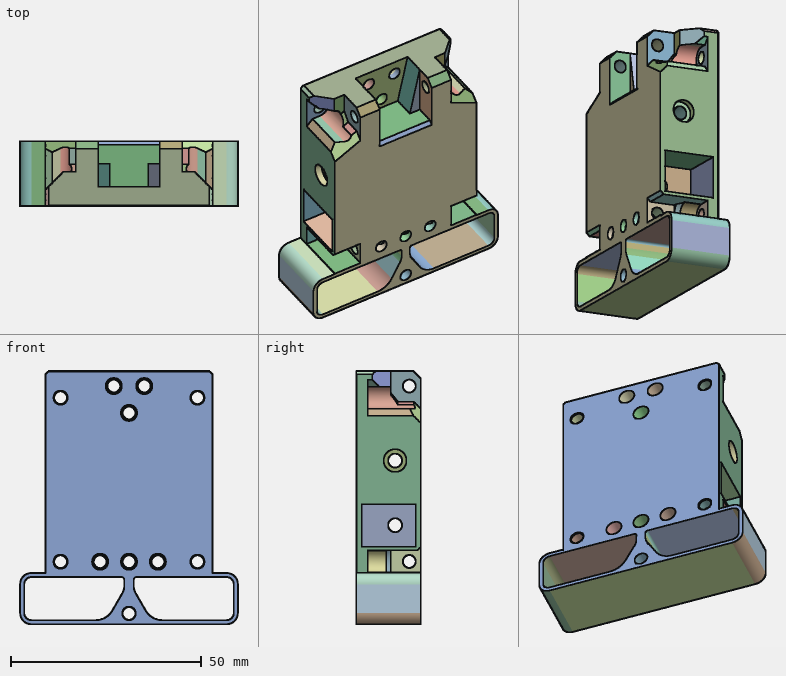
import cadquery as cq
import math

depth = 17.0
height = 66.5
body_half_width = 21.95

handle_width = 57.2
handle_height = 13.5
handle_radius = 3.0
handle_wall = 1.1
web_half_width = 1.25
web_bend_z = 9.05
web_angle = 30.0
web_foot_radius = 5.0
web_bend_radius = 4.0
web_top_radius = 0.65

front_break = 0.2
front_side_break = 0.05
edge_chamfer = 0.9
top_back_chamfer = 2.0

screw_x = 17.95
screw_z_low = 16.4
screw_z_high = 59.45
plate_thickness = 3.1
recess_radius = 2.9
recess_mouth = 1.8
wall_half_width = 14.0
ledge_y = 9.05
ledge_slant_x = 17.15

ramp_top_z = 60.6
ramp_foot_y = 11.0
ramp_foot_z = 58.4
shoulder_tilt = 25.4
shoulder_chamfer = 1.85

notch_floor_z = 13.6
notch_roof_z = 19.4
notch_cone_depth = 1.1

slot_half_width = 8.05
slot_front_y = 5.1
slot_floor_z = 52.55
wedge_back_y = 11.1
wedge_half_width = 5.0

hole_diameter = 3.3
screw_mouth_diameter = 3.7
screw_mouth_depth = 0.2
taper_mouth_diameter = 4.25
taper_depth = 3.3
upper_pair_x = 4.0
upper_pair_z = 62.5
upper_single_z = 55.45
lower_side_x = 7.6
handle_hole_z = 2.85
handle_hole_diameter = 3.6
pin_y = 13.95
pin_z_high = 62.5
pin_z_low = 16.5
cross_y = 10.25
cross_z_high = 42.95
cross_z_low = 26.0
cross_diameter = 3.6
cross_bore_diameter = 6.0
cross_bore_depth = 2.0

pocket_y_min = 1.5
pocket_y_max = 15.6
pocket_z_min = 20.35
pocket_z_max = 31.5
pocket_depth = 13.3

margin = 3.3


def box(x_min, x_max, y_min, y_max, z_min, z_max):
    block = cq.Workplane("XY").box(x_max - x_min, y_max - y_min, z_max - z_min, centered=False)
    return block.translate((x_min, y_min, z_min))


def prism_along_y(points, y_min, y_max):
    """Extrude an outline of (x, z) points between two Y positions."""
    plane = cq.Workplane("XZ", origin=(0, y_min, 0))
    return plane.polyline(points).close().extrude(y_min - y_max)


def prism_along_x(points, x_min, x_max):
    """Extrude an outline of (y, z) points between two X positions."""
    plane = cq.Workplane("YZ", origin=(x_min, 0, 0))
    return plane.polyline(points).close().extrude(x_max - x_min)


def cone_along_y(x, z, y_start, y_end, start_radius, end_radius):
    """Straight-sided round cutter pointing along +Y."""
    length = y_end - y_start
    solid = cq.Solid.makeCone(
        start_radius, end_radius, length, pnt=cq.Vector(x, y_start, z), dir=cq.Vector(0, 1, 0)
    )
    return cq.Workplane(obj=solid)


def rod_along_y(x, z, radius, y_start, y_end):
    plane = cq.Workplane("XZ", origin=(x, y_start, z))
    return plane.circle(radius).extrude(y_start - y_end)


def rod_along_x(y, z, diameter, x_min, x_max):
    plane = cq.Workplane("YZ", origin=(x_min, y, z))
    return plane.circle(diameter / 2).extrude(x_max - x_min)


def mirrored(cutter):
    """The cutter together with its mirror image across X = 0."""
    return cutter.union(cutter.mirror("YZ"))


def make_handle():
    block = box(-handle_width / 2, handle_width / 2, 0, depth, 0, handle_height)
    return block.edges("|Y").fillet(handle_radius)


def make_handle_opening():
    outer_x = handle_width / 2 - handle_wall
    top_z = handle_height - handle_wall
    foot_x = web_half_width + (web_bend_z - handle_wall) * math.tan(math.radians(web_angle))
    outline = [
        (web_half_width, top_z),
        (web_half_width, web_bend_z),
        (foot_x, handle_wall),
        (outer_x, handle_wall),
        (outer_x, top_z),
    ]
    opening = prism_along_y(outline, 0, depth)
    opening = opening.edges("|Y and >X").fillet(handle_radius - handle_wall)
    foot_corner = cq.NearestToPointSelector((foot_x, depth / 2, handle_wall))
    opening = opening.edges(foot_corner).fillet(web_foot_radius)
    bend = cq.NearestToPointSelector((web_half_width, depth / 2, web_bend_z))
    opening = opening.edges(bend).fillet(web_bend_radius)
    top_corner = cq.NearestToPointSelector((web_half_width, depth / 2, top_z))
    return opening.edges(top_corner).fillet(web_top_radius)


def make_body():
    block = box(-body_half_width, body_half_width, 0, depth, handle_height - handle_wall, height)
    block = block.edges("|Y and >Z").chamfer(edge_chamfer)
    block = block.faces("<Y").edges(">Z").chamfer(front_break)
    side_break = [
        (body_half_width, 0),
        (body_half_width - front_side_break, 0),
        (body_half_width, front_break),
    ]
    return block.cut(mirrored(cq.Workplane("XY").polyline(side_break).close().extrude(height)))


def make_top_back_chamfer():
    outline = [(depth, height), (depth - top_back_chamfer, height), (depth, height - top_back_chamfer)]
    return prism_along_x(outline, -body_half_width, body_half_width)


def make_upper_recess():
    """Screw recess behind the plate, open to the side through a flared mouth."""
    far_x = body_half_width + margin
    flare_x = body_half_width - recess_mouth
    reach = recess_radius + far_x - flare_x
    outline = [
        (screw_x, screw_z_high - recess_radius),
        (flare_x, screw_z_high - recess_radius),
        (far_x, screw_z_high - reach),
        (far_x, screw_z_high + reach),
        (flare_x, screw_z_high + recess_radius),
        (screw_x, screw_z_high + recess_radius),
    ]
    bore = rod_along_y(screw_x, screw_z_high, recess_radius, plate_thickness, depth)
    return bore.union(prism_along_y(outline, plate_thickness, depth))


def make_arm_relief():
    """Clearance beside the arm, down to a tilted floor with a ramp at its front."""
    far_x = body_half_width + margin
    far_y = depth + margin
    far_z = height + margin
    profile = [
        (ledge_y, far_z),
        (ledge_y, ramp_top_z),
        (ramp_foot_y, ramp_foot_z),
        (far_y, ramp_foot_z),
        (far_y, far_z),
    ]
    relief = prism_along_x(profile, 0, far_x + margin)
    hinge = (wall_half_width, 0, ramp_foot_z)
    relief = relief.rotate(hinge, (wall_half_width, 1, ramp_foot_z), shoulder_tilt)
    return relief.intersect(box(wall_half_width, screw_x - recess_radius / 2, ledge_y, far_y, 0, far_z))


def make_slanted_relief():
    """Everything above the recess outside the slanted side of the ledge."""
    far = body_half_width + margin
    outline = [
        (wall_half_width, ledge_y),
        (ledge_slant_x, ledge_y),
        (far, ledge_y - (far - ledge_slant_x)),
        (far, depth),
        (wall_half_width, depth),
    ]
    base = cq.Workplane("XY", origin=(0, 0, screw_z_high + recess_radius / 2))
    return base.polyline(outline).close().extrude(height)


def make_shoulder_chamfer():
    """Compound slope across the back top corner of the shoulder."""
    far_z = height + margin
    slope = math.tan(math.radians(shoulder_tilt))
    back_z = ramp_foot_z - shoulder_chamfer

    def section(x):
        z = back_z - slope * (x - wall_half_width)
        corners = [
            (depth, z),
            (depth + margin, z - margin),
            (depth + margin, z + far_z),
            (depth - far_z, z + far_z),
        ]
        return cq.Wire.makePolygon([cq.Vector(x, y, corner_z) for y, corner_z in corners], close=True)

    far_x = body_half_width + margin
    wedge = cq.Workplane(obj=cq.Solid.makeLoft([section(wall_half_width), section(far_x)], True))
    return wedge.intersect(box(wall_half_width, far_x, ledge_y, depth + margin, 0, far_z))


def make_lower_notch():
    """Side notch above the handle with a round, cone-ended recess for the screw."""
    far_x = body_half_width + margin
    cone_y = ledge_y - notch_cone_depth
    bore = rod_along_y(screw_x, screw_z_low, recess_radius, plate_thickness, ledge_y)
    cone = cone_along_y(
        screw_x, screw_z_low, cone_y, ledge_y, recess_radius, recess_radius + notch_cone_depth
    )
    side = box(screw_x, far_x, plate_thickness, depth, notch_floor_z, notch_roof_z)
    back = box(wall_half_width, far_x, ledge_y, depth, notch_floor_z, notch_roof_z)
    notch = bore.union(cone).union(side).union(back)
    notch = notch.intersect(box(0, far_x, 0, depth, notch_floor_z, notch_roof_z))
    bevel = [
        (depth, notch_roof_z),
        (depth - edge_chamfer, notch_roof_z),
        (depth, notch_roof_z + edge_chamfer),
    ]
    step = box(body_half_width, far_x, 0, depth, handle_height, notch_roof_z)
    return notch.union(prism_along_x(bevel, wall_half_width, far_x)).union(step)


def make_slot():
    """Slot between the arms; its front half narrows towards the floor."""
    taper = [
        (-slot_half_width, height),
        (-wedge_half_width, slot_floor_z),
        (wedge_half_width, slot_floor_z),
        (slot_half_width, height),
    ]
    front = prism_along_y(taper, slot_front_y, wedge_back_y)
    back = box(-slot_half_width, slot_half_width, wedge_back_y, depth, slot_floor_z, height)
    bevel = [
        (depth, slot_floor_z),
        (depth - edge_chamfer, slot_floor_z),
        (depth, slot_floor_z - edge_chamfer),
    ]
    return front.union(back).union(prism_along_x(bevel, -slot_half_width, slot_half_width))


def make_front_holes():
    screw_places = [(x, z) for x in (-screw_x, screw_x) for z in (screw_z_low, screw_z_high)]
    tapered_places = [(-upper_pair_x, upper_pair_z), (upper_pair_x, upper_pair_z), (0, upper_single_z)]
    tapered_places += [(x, screw_z_low) for x in (-lower_side_x, 0, lower_side_x)]
    radius = hole_diameter / 2
    holes = cone_along_y(0, handle_hole_z, 0, depth, handle_hole_diameter / 2, radius)
    for x, z in screw_places:
        holes = holes.union(rod_along_y(x, z, radius, 0, plate_thickness))
        holes = holes.union(cone_along_y(x, z, 0, screw_mouth_depth, screw_mouth_diameter / 2, radius))
    for x, z in tapered_places:
        holes = holes.union(rod_along_y(x, z, radius, 0, depth))
        holes = holes.union(cone_along_y(x, z, 0, taper_depth, taper_mouth_diameter / 2, radius))
    return holes


def make_cross_holes():
    reach = body_half_width + margin
    holes = rod_along_x(pin_y, pin_z_high, hole_diameter, -reach, reach)
    holes = holes.union(rod_along_x(pin_y, pin_z_low, hole_diameter, -reach, reach))
    for z in (cross_z_low, cross_z_high):
        holes = holes.union(rod_along_x(cross_y, z, cross_diameter, -reach, reach))
    bore_start = body_half_width - cross_bore_depth
    bore = rod_along_x(cross_y, cross_z_high, cross_bore_diameter, bore_start, reach)
    return holes.union(mirrored(bore))


def make_pocket():
    inner_x = body_half_width - pocket_depth
    return box(inner_x, body_half_width, pocket_y_min, pocket_y_max, pocket_z_min, pocket_z_max)


result = make_body().union(make_handle())
result = result.cut(make_top_back_chamfer())
for cutter in (
    make_handle_opening(),
    make_upper_recess(),
    make_arm_relief(),
    make_slanted_relief(),
    make_shoulder_chamfer(),
    make_lower_notch(),
    make_pocket(),
):
    result = result.cut(mirrored(cutter))
result = result.cut(make_slot()).cut(make_front_holes()).cut(make_cross_holes())